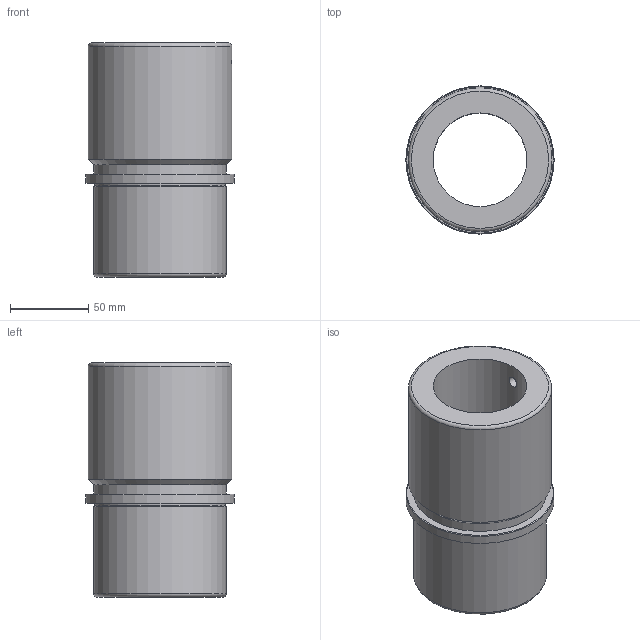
import cadquery as cq

total_height = 150.0
shoulder_z = 58.0
flange_bottom_z = 60.0
flange_thickness = 6.0
head_chamfer_top_z = 75.5

bore_diameter = 60.0
spigot_diameter = 85.0
undercut_diameter = 83.5
flange_diameter = 95.0
head_diameter = 92.0

end_fillet = 2.0
flange_fillet = 0.5
undercut_fillet = 0.5

radial_hole_diameter = 7.0
radial_hole_depth_from_top = 12.0


def make_sleeve():
    """Revolve the wall section of the stepped sleeve about Z."""
    bore_radius = bore_diameter / 2
    spigot_radius = spigot_diameter / 2
    undercut_radius = undercut_diameter / 2
    flange_radius = flange_diameter / 2
    head_radius = head_diameter / 2
    flange_top_z = flange_bottom_z + flange_thickness

    head_chamfer_bottom_z = head_chamfer_top_z - (head_radius - spigot_radius)

    section = (
        cq.Workplane("XZ")
        .moveTo(bore_radius, 0)
        .lineTo(spigot_radius - end_fillet, 0)
        .radiusArc((spigot_radius, end_fillet), -end_fillet)
        .lineTo(spigot_radius, shoulder_z)
        .lineTo(undercut_radius + undercut_fillet, shoulder_z)
        .radiusArc((undercut_radius, shoulder_z + undercut_fillet), undercut_fillet)
        .lineTo(undercut_radius, flange_bottom_z)
        .lineTo(flange_radius, flange_bottom_z)
        .lineTo(flange_radius, flange_top_z - flange_fillet)
        .radiusArc((flange_radius - flange_fillet, flange_top_z), -flange_fillet)
        .lineTo(spigot_radius, flange_top_z)
        .lineTo(spigot_radius, head_chamfer_bottom_z)
        .lineTo(head_radius, head_chamfer_top_z)
        .lineTo(head_radius, total_height - end_fillet)
        .radiusArc((head_radius - end_fillet, total_height), -end_fillet)
        .lineTo(bore_radius, total_height)
        .close()
    )
    return section.revolve(360, (0, 0, 0), (0, 1, 0))


def make_radial_hole():
    """Cylinder running from the axis out through the +X wall."""
    return (
        cq.Workplane("YZ")
        .center(0, total_height - radial_hole_depth_from_top)
        .circle(radial_hole_diameter / 2)
        .extrude(head_diameter / 2)
    )


result = make_sleeve().cut(make_radial_hole())